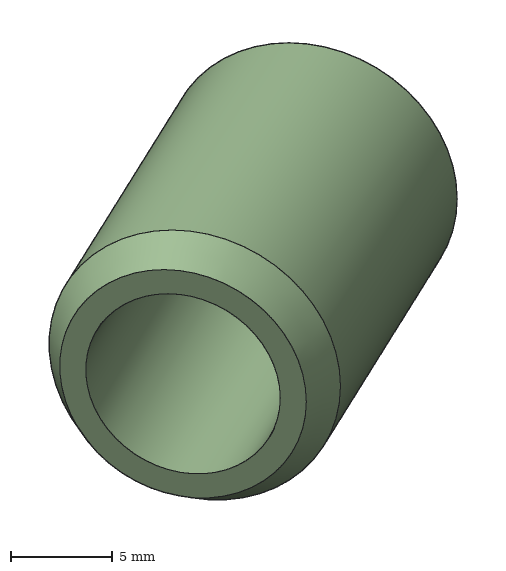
import cadquery as cq
import math

length = 22.0
outer_diameter = 15.0
bore_diameter = 10.0
taper_length = 2.0
taper_angle = 30.0

outer_radius = outer_diameter / 2
bore_radius = bore_diameter / 2
nose_radius = outer_radius - taper_length * math.tan(math.radians(taper_angle))
front_y = -length / 2
back_y = length / 2

wall_section = (
    cq.Workplane("XY")
    .moveTo(bore_radius, front_y)
    .lineTo(nose_radius, front_y)
    .lineTo(outer_radius, front_y + taper_length)
    .lineTo(outer_radius, back_y)
    .lineTo(bore_radius, back_y)
    .close()
)

result = wall_section.revolve(360, (0, 0, 0), (0, 1, 0))